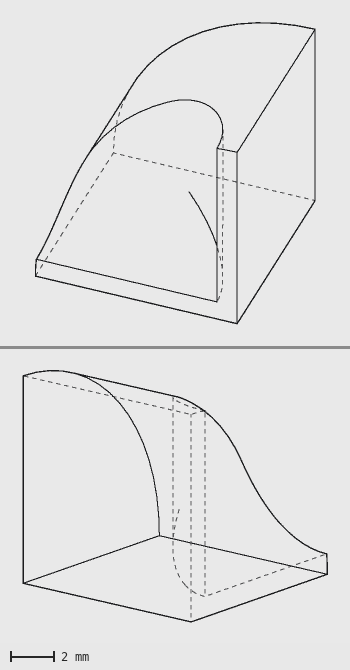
import cadquery as cq

outer_radius = 10.0
length = 10.0
wall = 1.0
cove_radius = 4.0

pocket_depth = cove_radius
cove_center = wall + cove_radius


def quarter_round():
    """Quarter cylinder filling the -X, +Z quadrant, with its front at Y = 0."""
    cylinder = cq.Workplane("XZ").circle(outer_radius).extrude(-length)
    quadrant = cq.Workplane("XY").box(outer_radius, length, outer_radius, centered=False)
    return cylinder.intersect(quadrant.translate((-outer_radius, 0, 0)))


def cove_profile(plane, side):
    """Pocket section: a quarter-round beside the wall, then a flat floor.

    The section is drawn across the plane's first axis (toward side = +1 or -1)
    and its second axis, which is the pocket depth along +Y.
    """
    return (
        cq.Workplane(plane)
        .moveTo(side * wall, 0)
        .radiusArc((side * cove_center, pocket_depth), side * cove_radius)
        .lineTo(side * outer_radius, pocket_depth)
        .lineTo(side * outer_radius, 0)
        .close()
    )


def corner_pocket():
    """Common volume of two crossing coves, giving a mitred inner corner."""
    side_cove = cove_profile("XY", -1).extrude(outer_radius)
    bottom_cove = cove_profile("ZY", 1).extrude(outer_radius)
    return side_cove.intersect(bottom_cove)


result = quarter_round().cut(corner_pocket())